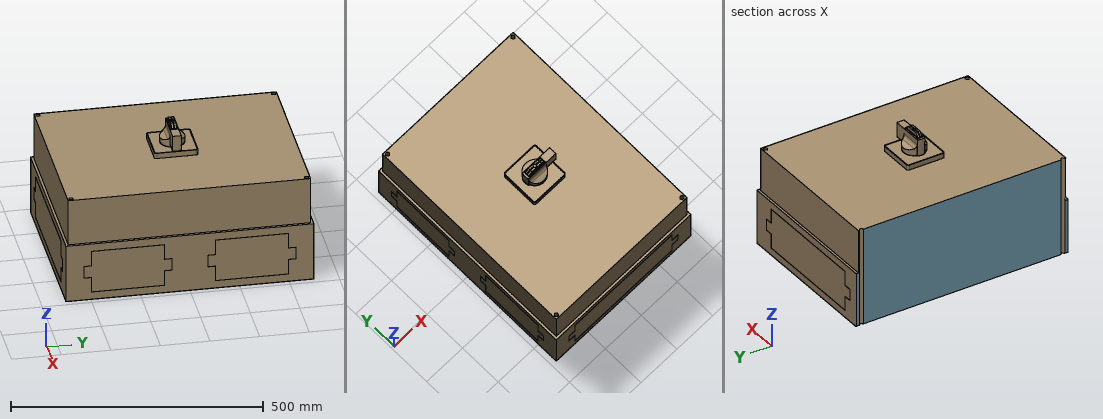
import cadquery as cq
import math

length_x = 375.0
length_y = 500.0
base_height = 125.0
lid_top = 224.5
lid_inset = 5.5

screw_diameter = 8.0
screw_edge_distance = 12.5

panel_height = 91.5
panel_depth = 0.25
tab_height = 26.0
front_panel_width = 270.0
front_tab_length = 17.0
side_panel_width = 147.0
side_tab_length = 15.0
side_panel_spacing = 250.0

plate_size = 88.0
plate_thickness = 11.5
plate_corner_radius = 4.5
plate_rim_width = 1.5
plate_recess_depth = 0.25
plate_top = lid_top + plate_thickness

knob_diameter = 51.0
knob_radius = knob_diameter / 2
knob_rim_round = 1.5
knob_bottom = plate_top - plate_recess_depth
lever_width = 17.5
lever_half_width = lever_width / 2
grip_top = plate_top + 26.5
grip_bend_z = plate_top + 17.0
grip_bend_y = 13.5
grip_rim_z = plate_top + 11.5
grip_curve_bow = 0.2

lever_top = lid_top + 50.0
lever_tip_x = 50.0
lever_back_radius = 27.5
lever_gap = 5.0

total_height = 284.0
indicator_length = 44.5
indicator_width = 10.5
indicator_half_width = indicator_width / 2
indicator_arc_radius = 27.0
indicator_flat_length = 26.0
shoulder_height = 2.0
shoulder_half_width = 7.0
groove_width = 1.5
groove_depth = 0.75
dimple_diameter = 7.0
dimple_depth = 1.5


def block(size_x, size_y, bottom, top):
    """Box centred on the vertical axis between two heights."""
    return cq.Workplane("XY").workplane(offset=bottom).rect(size_x, size_y).extrude(top - bottom)


def panel(width, tab_length):
    """Thin cross-shaped slab, upright in XZ, centred on the origin."""
    body = cq.Workplane("XY").box(width, 2 * panel_depth, panel_height)
    tabs = cq.Workplane("XY").box(width + 2 * tab_length, 2 * panel_depth, tab_height)
    return body.union(tabs)


def make_enclosure():
    base = block(length_x, length_y, 0, base_height)
    lid = block(length_x - 2 * lid_inset, length_y - 2 * lid_inset, base_height, lid_top)
    shell = base.union(lid)
    screws = (
        cq.Workplane("XY")
        .rect(length_x - 2 * screw_edge_distance, length_y - 2 * screw_edge_distance, forConstruction=True)
        .vertices()
        .circle(screw_diameter / 2)
        .extrude(lid_top)
    )
    shell = shell.cut(screws)
    front_panel = panel(front_panel_width, front_tab_length)
    side_panel = panel(side_panel_width, side_tab_length).rotate((0, 0, 0), (0, 0, 1), 90)
    panel_z = base_height / 2
    for side in (-1, 1):
        shell = shell.cut(front_panel.translate((0, side * length_y / 2, panel_z)))
        for end in (-1, 1):
            place = (side * length_x / 2, end * side_panel_spacing / 2, panel_z)
            shell = shell.cut(side_panel.translate(place))
    return shell


def make_plate():
    """Square plate with rounded corners and a faintly raised rim."""
    face_z = plate_top - plate_recess_depth
    inner_size = plate_size - 2 * plate_rim_width
    plate = block(plate_size, plate_size, lid_top, plate_top)
    plate = plate.edges("|Z").fillet(plate_corner_radius)
    recess = block(inner_size, inner_size, face_z, plate_top)
    recess = recess.edges("|Z").fillet(plate_corner_radius - plate_rim_width)
    return plate.cut(recess)


def rounded_disc(radius, top):
    """Disc standing on the plate, with its lower rim rounded."""
    disc = cq.Workplane("XY").workplane(offset=knob_bottom).circle(radius).extrude(top - knob_bottom)
    return disc.faces("<Z").edges().fillet(knob_rim_round)


def make_knob():
    curve_y = lever_half_width + grip_curve_bow * (grip_bend_y - lever_half_width)
    curve_z = (grip_top + grip_bend_z) / 2
    section = (
        cq.Workplane("YZ")
        .moveTo(-knob_radius, knob_bottom)
        .lineTo(-knob_radius, grip_rim_z)
        .lineTo(-grip_bend_y, grip_bend_z)
        .threePointArc((-curve_y, curve_z), (-lever_half_width, grip_top))
        .lineTo(lever_half_width, grip_top)
        .threePointArc((curve_y, curve_z), (grip_bend_y, grip_bend_z))
        .lineTo(knob_radius, grip_rim_z)
        .lineTo(knob_radius, knob_bottom)
        .close()
        .extrude(knob_radius, both=True)
    )
    return rounded_disc(knob_radius, grip_top).intersect(section)


def make_lever():
    back = rounded_disc(lever_back_radius, lever_top)
    back_bar = block(lever_back_radius, lever_width, knob_bottom, lever_top)
    back = back.intersect(back_bar.translate((-lever_back_radius / 2, 0, 0)))
    front = block(lever_tip_x, lever_width, plate_top + lever_gap, lever_top)
    front = front.translate((lever_tip_x / 2, 0, 0))
    return back.union(front)


def make_indicator():
    half_length = indicator_length / 2
    half_flat = indicator_flat_length / 2
    shoulder_top = lever_top + shoulder_height
    shoulder = (
        cq.Workplane("YZ")
        .moveTo(-lever_half_width, lever_top)
        .lineTo(-shoulder_half_width, shoulder_top)
        .lineTo(shoulder_half_width, shoulder_top)
        .lineTo(lever_half_width, lever_top)
        .close()
        .extrude(half_length, both=True)
    )
    arc_centre_z = total_height - math.sqrt(indicator_arc_radius**2 - half_flat**2)
    arc_mid_x = (half_length + half_flat) / 2

    def arc_z(x):
        return arc_centre_z + math.sqrt(indicator_arc_radius**2 - x**2)

    def dome_slab(start_y, end_y, drop):
        """Slice of the dome between two Y positions, sunk by the given drop."""
        return (
            cq.Workplane("XZ", origin=(0, end_y, -drop))
            .moveTo(-half_length, lever_top)
            .lineTo(-half_length, arc_z(half_length))
            .threePointArc((-arc_mid_x, arc_z(arc_mid_x)), (-half_flat, total_height))
            .lineTo(half_flat, total_height)
            .threePointArc((arc_mid_x, arc_z(arc_mid_x)), (half_length, arc_z(half_length)))
            .lineTo(half_length, lever_top)
            .close()
            .extrude(end_y - start_y)
        )

    groove_half = groove_width / 2
    dome = dome_slab(-indicator_half_width, -groove_half, 0)
    dome = dome.union(dome_slab(-groove_half, groove_half, groove_depth))
    dome = dome.union(dome_slab(groove_half, indicator_half_width, 0))
    dimple = (
        cq.Workplane("XY")
        .workplane(offset=total_height - dimple_depth)
        .circle(dimple_diameter / 2)
        .extrude(dimple_depth)
    )
    return shoulder.union(dome).cut(dimple)


result = make_enclosure()
for make_part in (make_plate, make_knob, make_lever, make_indicator):
    result = result.union(make_part())